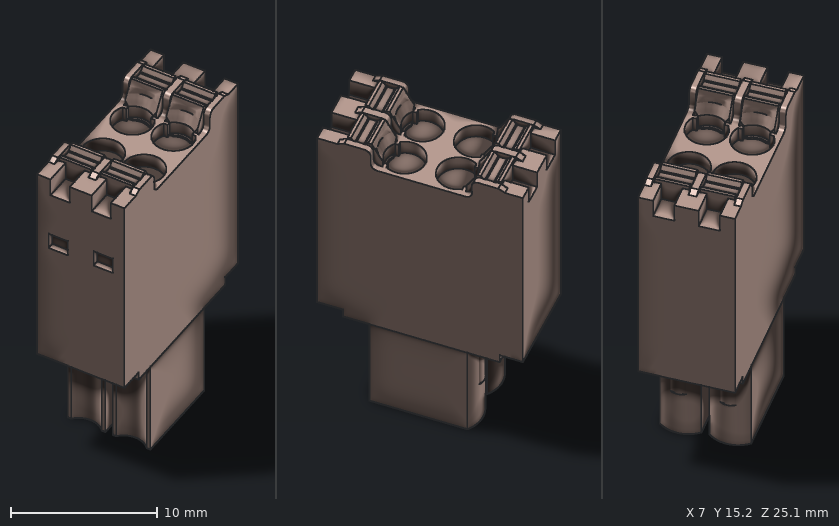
import cadquery as cq
import math

total_height = 25.05
width = 7.0
depth = 15.2
foot_bottom_z = 7.82
body_bottom_z = 8.5
shoulder_z = 24.75
rib_top_z = 24.97
valley_z = 23.25

mid_y = 0.1
foot_half_depth = 5.79
ramp_foot_y = 6.19
ramp_top_y = 5.69
valley_wall_y = 3.73
valley_fillet = 0.5

column_pitch = 3.28
columns = [-column_pitch / 2, column_pitch / 2]
sides = [-1, 1]

hole_radius = 1.53
hole_offset = 1.98
hole_depth = 1.13
hole_end_y = 2.8
channel_width = 1.95
hole_floor_z = valley_z - hole_depth

slot_width = 2.7
lever_width = 2.5
lever_inner_y = 3.08
lever_lip_y = 3.9
lever_outer_y = ramp_top_y
lip_width = 0.25
groove_slope = 0.28
groove_ledge = 0.08
groove_ledge_depth = 0.33
groove_depth = 0.4
throat_radius = 1.48
funnel_mid_radius = 1.85
funnel_mid_z = 24.1
ledge_radius = 1.28
ledge_height = 0.15

notch_width = 1.53
notch_floor_z = 23.32
window_width = 1.53
window_height = 1.28
window_bottom_z = 18.49
window_depth = 0.5

leg_pitch = 3.58
leg_centres = [-leg_pitch / 2, leg_pitch / 2]
leg_width = 3.0
leg_front_y = -3.8
leg_edge_y = 3.43
leg_crown_y = 3.98
hollow_chord = 2.43
hollow_sagitta = 0.55
ridge_crown_y = 4.08
ridge_edge_y = 3.88
ridge_bottom_z = 3.73
catch_width = 1.2
catch_bottom_z = 6.81
catch_end_y = 5.64


def block(x_min, x_max, y_a, y_b, z_min, z_max):
    """Box between two corners; the Y limits may come in either order."""
    y_min = min(y_a, y_b)
    y_max = max(y_a, y_b)
    return cq.Workplane("XY").box(
        x_max - x_min, y_max - y_min, z_max - z_min, centered=False
    ).translate((x_min, y_min, z_min))


def centred_block(x, x_width, y_a, y_b, z_min, z_max):
    """Box centred on x."""
    return block(x - x_width / 2, x + x_width / 2, y_a, y_b, z_min, z_max)


def housing_shell():
    """Side outline of the body, ribs, valley and foot, extruded over the full width."""
    half_depth = depth / 2
    outline = (
        cq.Workplane("YZ")
        .moveTo(mid_y - foot_half_depth, foot_bottom_z)
        .lineTo(mid_y + foot_half_depth, foot_bottom_z)
        .lineTo(mid_y + foot_half_depth, body_bottom_z)
        .lineTo(half_depth, body_bottom_z)
        .lineTo(half_depth, shoulder_z)
        .lineTo(mid_y + ramp_foot_y, shoulder_z)
        .lineTo(mid_y + ramp_top_y, rib_top_z)
        .lineTo(mid_y + valley_wall_y, rib_top_z)
        .lineTo(mid_y + valley_wall_y, valley_z)
        .lineTo(mid_y - valley_wall_y, valley_z)
        .lineTo(mid_y - valley_wall_y, rib_top_z)
        .lineTo(mid_y - ramp_top_y, rib_top_z)
        .lineTo(mid_y - ramp_foot_y, shoulder_z)
        .lineTo(-half_depth, shoulder_z)
        .lineTo(-half_depth, body_bottom_z)
        .lineTo(mid_y - foot_half_depth, body_bottom_z)
        .close()
    )
    shell = outline.extrude(width / 2, both=True)
    for side in sides:
        for z in (rib_top_z, valley_z):
            edge_point = (0, mid_y + side * valley_wall_y, z)
            shell = shell.edges(cq.selectors.NearestToPointSelector(edge_point)).fillet(valley_fillet)
    return shell


def lever_slot(x, side):
    """Slot that holds a lever, with a flat relief level with the shoulder behind it."""
    inner_y = mid_y + side * lever_inner_y
    outer_y = mid_y + side * lever_outer_y
    slot = centred_block(x, slot_width, inner_y, outer_y, hole_floor_z, total_height)
    relief_end_y = mid_y + side * ramp_foot_y
    return slot.union(centred_block(x, slot_width, outer_y, relief_end_y, shoulder_z, total_height))


def wire_notch(x, side):
    """Notch from the outer face to the lever."""
    outer_y = side * depth / 2
    return centred_block(x, notch_width, mid_y + side * lever_outer_y, outer_y, notch_floor_z, total_height)


def access_hole(x, side):
    """Blind round hole in the valley floor, cut short by a narrower channel to the lever."""
    hole = (
        cq.Workplane("XY", origin=(x, mid_y + side * hole_offset, hole_floor_z))
        .circle(hole_radius)
        .extrude(hole_depth)
    )
    end_y = mid_y + side * hole_end_y
    slot_y = mid_y + side * lever_inner_y
    beyond_y = mid_y + side * (hole_offset + hole_radius)
    hole = hole.cut(centred_block(x, slot_width, end_y, beyond_y, hole_floor_z, valley_z))
    return hole.union(centred_block(x, channel_width, end_y, slot_y, hole_floor_z, valley_z))


def front_window(x):
    """Shallow rectangular recess in the front face."""
    front_y = -depth / 2
    window_top_z = window_bottom_z + window_height
    return centred_block(x, window_width, front_y, front_y + window_depth, window_bottom_z, window_top_z)


def arc_prism(x, chord, chord_y, crown_y, z_min, z_max):
    """Upright prism between a straight chord and an arc that bulges towards +Y."""
    return (
        cq.Workplane("XY", origin=(x, 0, z_min))
        .moveTo(-chord / 2, chord_y)
        .threePointArc((0, crown_y), (chord / 2, chord_y))
        .close()
        .extrude(z_max - z_min)
    )


def catch(x):
    """Tab with a rounded underside, standing out from the back of a leg."""
    radius = catch_width / 2
    return (
        cq.Workplane("XZ", origin=(x, catch_end_y, 0))
        .moveTo(-radius, foot_bottom_z)
        .lineTo(-radius, catch_bottom_z + radius)
        .threePointArc((0, catch_bottom_z), (radius, catch_bottom_z + radius))
        .lineTo(radius, foot_bottom_z)
        .close()
        .extrude(catch_end_y - leg_edge_y)
    )


def leg(x):
    """Plug leg with a hollow front, a rounded back, a ridge and a catch."""
    body = centred_block(x, leg_width, leg_front_y, leg_edge_y, 0, foot_bottom_z)
    body = body.union(arc_prism(x, leg_width, leg_edge_y, leg_crown_y, 0, foot_bottom_z))
    hollow_crown_y = leg_front_y + hollow_sagitta
    body = body.cut(arc_prism(x, hollow_chord, leg_front_y, hollow_crown_y, 0, foot_bottom_z))
    ridge = arc_prism(x, catch_width, ridge_edge_y, ridge_crown_y, ridge_bottom_z, foot_bottom_z)
    return body.union(ridge).union(catch(x))


def make_housing():
    """Housing with both legs, all slots, notches, holes and windows."""
    housing = housing_shell()
    for x in columns:
        for side in sides:
            housing = housing.cut(lever_slot(x, side))
            housing = housing.cut(wire_notch(x, side))
            housing = housing.cut(access_hole(x, side))
    for x in leg_centres:
        housing = housing.cut(front_window(x))
        housing = housing.union(leg(x))
    return housing


def lower_funnel():
    """Round hollow of the inner lever face, turned about the axis of its access hole."""
    ledge_top_z = hole_floor_z + ledge_height
    return (
        cq.Workplane("XZ")
        .moveTo(0, hole_floor_z)
        .lineTo(ledge_radius, hole_floor_z)
        .lineTo(ledge_radius, ledge_top_z)
        .lineTo(throat_radius, ledge_top_z)
        .lineTo(throat_radius, valley_z)
        .lineTo(funnel_mid_radius, funnel_mid_z)
        .lineTo(0, funnel_mid_z)
        .close()
        .revolve(360, (0, 0, 0), (0, 1, 0))
        .translate((0, hole_offset, 0))
    )


def upper_funnel():
    """Hollow that blends the funnel arc into the straight edge of the lever lip."""
    half_width = lever_width / 2
    corner_y = hole_offset + math.sqrt(funnel_mid_radius**2 - half_width**2)
    return (
        cq.Workplane("XY", origin=(0, 0, funnel_mid_z))
        .moveTo(-half_width, hole_offset)
        .lineTo(half_width, hole_offset)
        .lineTo(half_width, corner_y)
        .threePointArc((0, hole_offset + funnel_mid_radius), (-half_width, corner_y))
        .close()
        .workplane(offset=total_height - funnel_mid_z)
        .moveTo(-half_width, hole_offset)
        .lineTo(half_width, hole_offset)
        .lineTo(half_width, lever_lip_y)
        .lineTo(-half_width, lever_lip_y)
        .close()
        .loft(ruled=True)
    )


def make_lever(x, side):
    """Lever with a grooved top and a funnel face, turned so its funnel faces mid_y."""
    ledge_z = total_height - groove_ledge_depth
    groove_floor_z = total_height - groove_depth
    groove_start = lever_lip_y + lip_width
    groove_end = lever_outer_y - lip_width
    ledge_start = groove_start + groove_slope
    ledge_end = groove_end - groove_slope
    lever = (
        cq.Workplane("YZ")
        .moveTo(lever_inner_y, hole_floor_z)
        .lineTo(lever_outer_y, hole_floor_z)
        .lineTo(lever_outer_y, total_height)
        .lineTo(groove_end, total_height)
        .lineTo(ledge_end, ledge_z)
        .lineTo(ledge_end - groove_ledge, ledge_z)
        .lineTo(ledge_end - groove_ledge, groove_floor_z)
        .lineTo(ledge_start + groove_ledge, groove_floor_z)
        .lineTo(ledge_start + groove_ledge, ledge_z)
        .lineTo(ledge_start, ledge_z)
        .lineTo(groove_start, total_height)
        .lineTo(lever_inner_y, total_height)
        .close()
        .extrude(lever_width / 2, both=True)
    )
    lever = lever.cut(lower_funnel()).cut(upper_funnel())
    if side < 0:
        lever = lever.rotate((0, 0, 0), (0, 0, 1), 180)
    return lever.translate((x, mid_y, 0))


housing = make_housing()
levers = [make_lever(x, side) for x in columns for side in sides]
result = cq.Compound.makeCompound([housing.val(), *[lever.val() for lever in levers]])